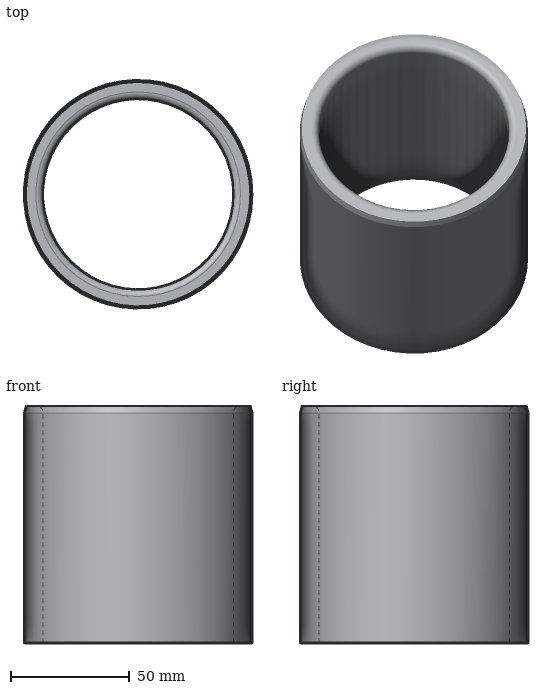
import cadquery as cq
import math

outer_diameter = 96.0
bore_diameter = 80.0
length = 100.0

lead_in_length = 3.0
lead_in_angle = 15.0

bottom_chamfer = 0.5

bore_entry_radius = 3.0

outer_radius = outer_diameter / 2
bore_radius = bore_diameter / 2
lead_in_depth = lead_in_length * math.tan(math.radians(lead_in_angle))


def make_sleeve():
    """Revolve the wall profile, including the lead-in and the bottom edge break."""
    return (
        cq.Workplane("XZ")
        .moveTo(bore_radius, 0)
        .lineTo(outer_radius - bottom_chamfer, 0)
        .lineTo(outer_radius, bottom_chamfer)
        .lineTo(outer_radius, length - lead_in_length)
        .lineTo(outer_radius - lead_in_depth, length)
        .lineTo(bore_radius, length)
        .close()
        .revolve(360, (0, 0, 0), (0, 1, 0))
    )


def round_bore_entry(sleeve):
    """Round the inner edge of the top face."""
    smallest_circle = cq.selectors.RadiusNthSelector(0)
    return sleeve.faces(">Z").edges(smallest_circle).fillet(bore_entry_radius)


result = round_bore_entry(make_sleeve())